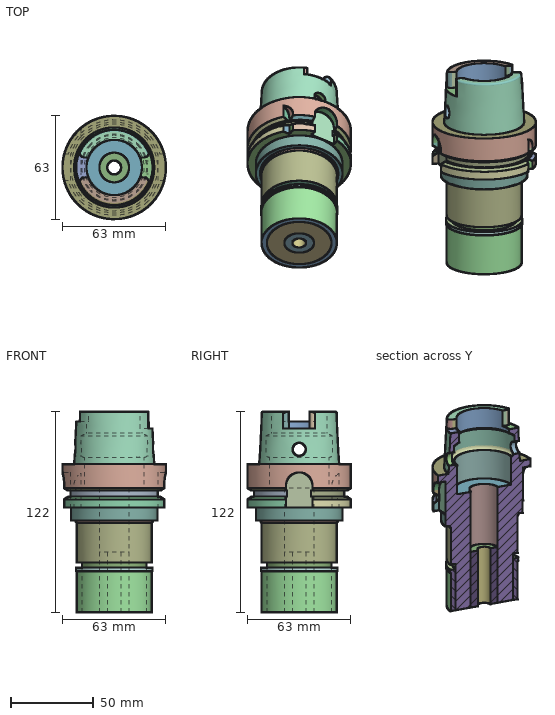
import cadquery as cq
import math

total_height = 122.0
shank_base_z = 90.0
groove_upper_edge_z = 75.5
groove_ceiling_z = 73.9
groove_floor_z = 70.3
groove_lower_edge_z = 68.7
flange_bottom_z = 63.7
collar_bottom_z = 55.8
body_chamfer_z = 54.4
body_bottom_z = 30.3
nut_height = 27.2
nut_rim_bottom_z = 25.3
nut_chamfer_z = 24.9

flange_radius = 31.5
groove_radius = 27.6
groove_lip_radius = 29.0
collar_radius = 26.4
body_chamfer_radius = 23.8
body_radius = 22.9
neck_radius = 19.6
nut_rim_radius = 23.3
shank_base_radius = 24.4
shank_taper = 0.05
shank_rim_radius = shank_base_radius - shank_taper * (total_height - shank_base_z)
rim_fillet = 1.2

mouth_radius = 16.8
mouth_bottom_z = 109.1
cavity_radius = 20.3
shoulder_angle = 30
shoulder_drop = (cavity_radius - mouth_radius) * math.tan(math.radians(shoulder_angle))
lower_cavity_radius = 18.2
step_z = 94.2
step_fillet = cavity_radius - lower_cavity_radius
cavity_floor_z = 75.6
bore_radius = 9.0
cross_hole_radius = 3.9
cross_hole_z = 99.1

notch_half_width = 6.2
notch_corner_radius = 2.5
near_notch_depth = 6.0
far_notch_depth = 10.1

keyway_radius = 8.0
slot_center_z = 77.0
keyway_floor_x = 26.6
side_slot_radius = 8.7
side_slot_center_y = 28.5
side_slot_floor_x = 20.1

collet_height = 36.6
collet_bore_radius = 4.1


def turned(outline):
    """Revolve a closed outline, drawn as radius and height, about the Z axis."""
    return outline.close().revolve(360, (0, 0, 0), (0, 1, 0))


def holder_blank():
    """Turned outside of the holder, solid down to the end of its neck."""
    outline = (
        cq.Workplane("XZ")
        .moveTo(0, 0)
        .lineTo(neck_radius, 0)
        .lineTo(neck_radius, body_bottom_z)
        .lineTo(body_radius, body_bottom_z)
        .lineTo(body_radius, body_chamfer_z)
        .lineTo(body_chamfer_radius, collar_bottom_z)
        .lineTo(collar_radius, collar_bottom_z)
        .lineTo(collar_radius, flange_bottom_z)
        .lineTo(flange_radius, flange_bottom_z)
        .lineTo(flange_radius, groove_lower_edge_z)
        .lineTo(groove_lip_radius, groove_floor_z)
        .lineTo(groove_radius, groove_floor_z)
        .lineTo(groove_radius, groove_ceiling_z)
        .lineTo(groove_lip_radius, groove_ceiling_z)
        .lineTo(flange_radius, groove_upper_edge_z)
        .lineTo(flange_radius, shank_base_z)
        .lineTo(shank_base_radius, shank_base_z)
        .lineTo(shank_rim_radius, total_height)
        .lineTo(0, total_height)
    )
    return turned(outline).faces(">Z").edges().fillet(rim_fillet)


def cavity():
    """Clamping cavity, undercut behind its mouth, and the bore that runs on to the neck end."""
    outline = (
        cq.Workplane("XZ")
        .moveTo(0, 0)
        .lineTo(bore_radius, 0)
        .lineTo(bore_radius, cavity_floor_z)
        .lineTo(lower_cavity_radius, cavity_floor_z)
        .lineTo(lower_cavity_radius, step_z)
        .radiusArc((cavity_radius, step_z + step_fillet), -step_fillet)
        .lineTo(cavity_radius, mouth_bottom_z - shoulder_drop)
        .lineTo(mouth_radius, mouth_bottom_z)
        .lineTo(mouth_radius, total_height)
        .lineTo(0, total_height)
    )
    return turned(outline)


def cross_hole():
    """Hole along X through both walls of the shank."""
    return (
        cq.Workplane("YZ")
        .center(0, cross_hole_z)
        .circle(cross_hole_radius)
        .extrude(shank_base_radius, both=True)
    )


def drive_notch(side, depth):
    """Notch through the shank rim on one X side (side is -1 or 1), with rounded outer corners."""
    notch_bottom_z = total_height - depth
    corner_y = notch_half_width + notch_corner_radius
    corner_x = math.sqrt((shank_rim_radius - notch_corner_radius) ** 2 - corner_y ** 2)
    touch_angle = math.atan2(corner_y, corner_x)
    middle_angle = (touch_angle - math.pi / 2) / 2

    middle_x = corner_x + notch_corner_radius * math.cos(middle_angle)
    middle_y = corner_y + notch_corner_radius * math.sin(middle_angle)
    touch_x = shank_rim_radius * math.cos(touch_angle)
    touch_y = shank_rim_radius * math.sin(touch_angle)
    return (
        cq.Workplane("XY", origin=(0, 0, notch_bottom_z))
        .moveTo(0, -notch_half_width)
        .lineTo(side * corner_x, -notch_half_width)
        .threePointArc((side * middle_x, -middle_y), (side * touch_x, -touch_y))
        .lineTo(side * flange_radius, -touch_y)
        .lineTo(side * flange_radius, touch_y)
        .lineTo(side * touch_x, touch_y)
        .threePointArc((side * middle_x, middle_y), (side * corner_x, notch_half_width))
        .lineTo(0, notch_half_width)
        .close()
        .extrude(depth)
    )


def flange_slot(side, center_y, radius, floor_x):
    """Round-topped slot, open at the flange bottom, from the flat floor outwards on one X side."""
    return (
        cq.Workplane("YZ", origin=(side * floor_x, 0, 0))
        .moveTo(center_y - radius, flange_bottom_z)
        .lineTo(center_y - radius, slot_center_z)
        .threePointArc((center_y, slot_center_z + radius), (center_y + radius, slot_center_z))
        .lineTo(center_y + radius, flange_bottom_z)
        .close()
        .extrude(side * flange_radius)
    )


def make_holder():
    """Taper-shank tool holder with its gripper flange, body and neck."""
    holder = holder_blank().cut(cavity()).cut(cross_hole())
    for side, depth in ((-1, near_notch_depth), (1, far_notch_depth)):
        holder = holder.cut(drive_notch(side, depth))
        holder = holder.cut(flange_slot(side, 0, keyway_radius, keyway_floor_x))
    return holder.cut(flange_slot(-1, side_slot_center_y, side_slot_radius, side_slot_floor_x))


def make_nut():
    """Clamping nut around the neck, with a raised rim at its upper end."""
    outline = (
        cq.Workplane("XZ")
        .moveTo(neck_radius, 0)
        .lineTo(body_radius, 0)
        .lineTo(body_radius, nut_chamfer_z)
        .lineTo(nut_rim_radius, nut_rim_bottom_z)
        .lineTo(nut_rim_radius, nut_height)
        .lineTo(neck_radius, nut_height)
    )
    return turned(outline)


def make_collet():
    """Plain sleeve that fills the lower part of the holder bore."""
    return cq.Workplane("XY").circle(bore_radius).circle(collet_bore_radius).extrude(collet_height)


holder = make_holder()
nut = make_nut()
collet = make_collet()

result = cq.Compound.makeCompound([holder.val(), nut.val(), collet.val()])